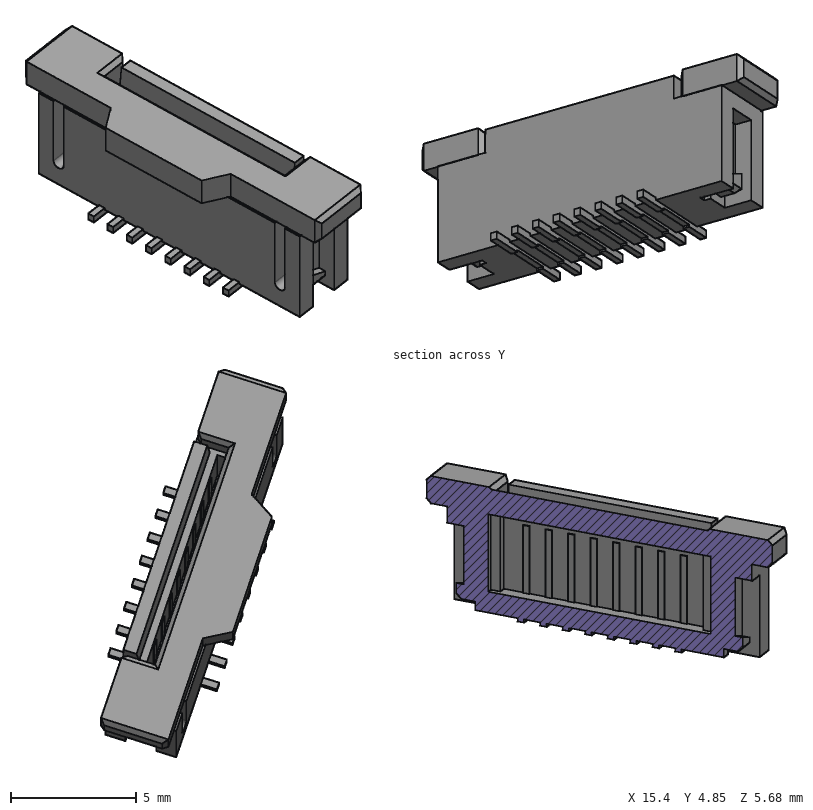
import cadquery as cq


housing_length = 13.58
housing_depth = 2.97
shoulder_height = 4.25
housing_back = housing_depth / 2
housing_front = -housing_back

rear_wall_length = 9.02
rear_wall_top = 5.27
rear_wall_top_thickness = 0.55
rear_wall_base_thickness = 0.66

slot_back = 0.51
slot_front = -0.1
slot_floor = 0.92
slot_step = 0.18
slot_wide_length = 9.85

slider_length = 15.4
slider_height = 1.2
slider_top = shoulder_height + slider_height
slider_rear_inset = 0.05
slider_front_inset = 0.1
slider_back = housing_back - slider_rear_inset
slider_front = housing_front + slider_front_inset
slider_chamfer = 0.2
opening_length = 9.4
opening_front = 0.1
tab_front = -2.45
tab_root_length = 6.24
tab_tip_length = 4.99

recess_width = 1.3
recess_height = 3.54
recess_depth = 1.26
arm_clearance = 0.05
arm_width = recess_width - 2 * arm_clearance
arm_setback = 0.74
arm_bottom = 0.37
arm_taper = 0.22
latch_reach = 0.32
latch_top_back = 0.8
latch_top_front = 1.26
latch_chamfer = 0.22
step_back = 0.37
step_depth = 0.31

groove_spacing = 11.52
groove_width = 0.52
groove_bottom = 0.86

contact_count = 8
contact_pitch = 1.0
contact_width = 0.3
tail_back = 2.4
tail_front = -2.15
tail_top = 0.1
tail_bottom = -0.23
relief_half_depth = 0.92
relief_height = 0.1
spring_proud = 0.05
spring_top = 3.85


def block(x_range, y_range, z_range):
    """Box between the given limits."""
    size = [high - low for low, high in (x_range, y_range, z_range)]
    corner = (x_range[0], y_range[0], z_range[0])
    return cq.Workplane("XY").box(*size, centered=False).translate(corner)


def centred_block(length, y_range, z_range):
    """Box centred on X = 0."""
    return block((-length / 2, length / 2), y_range, z_range)


def side_profile(points, x_start, length):
    """Prism along +X from a list of (Y, Z) points."""
    return cq.Workplane("YZ").workplane(offset=x_start).polyline(points).close().extrude(length)


def both_ends(solid):
    """The solid together with its mirror image at the other end."""
    return solid.union(solid.mirror("YZ"))


def make_housing():
    body = centred_block(housing_length, (housing_front, housing_back), (0, shoulder_height))
    rear_wall = side_profile(
        [
            (housing_back, 0),
            (housing_back, rear_wall_top),
            (housing_back - rear_wall_top_thickness, rear_wall_top),
            (housing_back - rear_wall_base_thickness, shoulder_height),
            (housing_back - rear_wall_base_thickness, 0),
        ],
        -rear_wall_length / 2,
        rear_wall_length,
    )
    slot_z = (slot_floor, shoulder_height)
    narrow_slot = centred_block(rear_wall_length, (slot_front, slot_back), slot_z)
    wide_slot = centred_block(slot_wide_length, (slot_front, slot_step), slot_z)
    return body.union(rear_wall).cut(narrow_slot).cut(wide_slot)


def make_recesses():
    end = -housing_length / 2
    inner = end + recess_depth
    half = recess_width / 2
    main = block((end, inner), (-half, half), (0, recess_height))
    step = block((inner, inner + step_depth), (step_back, half), (0, recess_height))
    return both_ends(main.union(step))


def make_grooves():
    """Round-bottomed grooves reaching through the front leg to the latch arms."""
    x = -groove_spacing / 2
    radius = groove_width / 2
    left = (
        cq.Workplane("XZ", origin=(0, housing_front, 0))
        .moveTo(x - radius, shoulder_height)
        .lineTo(x - radius, groove_bottom + radius)
        .threePointArc((x, groove_bottom), (x + radius, groove_bottom + radius))
        .lineTo(x + radius, shoulder_height)
        .close()
        .extrude(housing_front + arm_width / 2)
    )
    return both_ends(left)


def make_arms():
    end = -housing_length / 2
    arm_face = end + arm_setback
    half = arm_width / 2
    foot = [
        (-half, arm_bottom + arm_taper),
        (-half + arm_taper, arm_bottom),
        (half - arm_taper, arm_bottom),
        (half, arm_bottom + arm_taper),
    ]
    arm = side_profile(
        foot + [(half, recess_height), (-half, recess_height)], arm_face, recess_depth - arm_setback
    )
    latch = side_profile(
        foot + [(half, latch_top_back), (-half, latch_top_front)], arm_face - latch_reach, latch_reach
    )
    latch = latch.faces("<X").edges("<Z").chamfer(latch_chamfer)
    return both_ends(arm.union(latch))


def make_slider():
    bar = centred_block(slider_length, (slider_front, slider_back), (shoulder_height, slider_top))
    bar = bar.faces("<X or >X").chamfer(slider_chamfer)
    opening = centred_block(opening_length, (opening_front, slider_back), (shoulder_height, slider_top))
    wide_length = opening_length + 2 * slider_chamfer
    rim = (
        cq.Workplane("XY", origin=(0, 0, slider_top))
        .rect(wide_length, 2 * (slider_back - opening_front + slider_chamfer))
        .workplane(offset=-slider_chamfer)
        .rect(opening_length, 2 * (slider_back - opening_front))
        .loft(ruled=True)
        .translate((0, slider_back, 0))
    )
    rear_corners = (
        cq.Workplane("XY", origin=(0, 0, shoulder_height))
        .polyline(
            [
                (-wide_length / 2, slider_back),
                (wide_length / 2, slider_back),
                (opening_length / 2, slider_back - slider_chamfer),
                (-opening_length / 2, slider_back - slider_chamfer),
            ]
        )
        .close()
        .extrude(slider_height)
    )
    tab = (
        cq.Workplane("XY", origin=(0, 0, shoulder_height))
        .polyline(
            [
                (-tab_root_length / 2, slider_front),
                (-tab_tip_length / 2, tab_front),
                (tab_tip_length / 2, tab_front),
                (tab_root_length / 2, slider_front),
            ]
        )
        .close()
        .extrude(slider_height)
    )
    return bar.cut(opening).cut(rim).cut(rear_corners).union(tab)


def make_contact(x):
    """Solder tail under the housing and a spring standing proud in the cable slot."""
    sides = (x - contact_width / 2, x + contact_width / 2)
    tail = block(sides, (tail_front, tail_back), (tail_bottom, tail_top))
    relief = block(
        sides, (-relief_half_depth, relief_half_depth), (tail_bottom, tail_bottom + relief_height)
    )
    spring = block(sides, (slot_back - spring_proud, slot_back), (slot_floor, spring_top))
    return tail.cut(relief).union(spring)


result = make_housing().cut(make_recesses()).cut(make_grooves())
result = result.union(make_arms()).union(make_slider())
for index in range(contact_count):
    result = result.union(make_contact((index - (contact_count - 1) / 2) * contact_pitch))